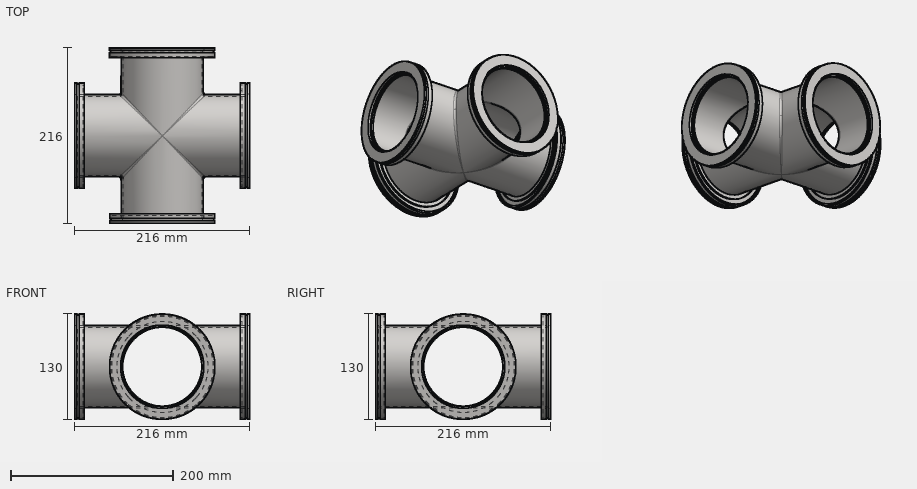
import cadquery as cq

overall_length = 216.0
face_distance = overall_length / 2

tube_outer_radius = 101.6 / 2
tube_inner_radius = 97.4 / 2
tube_wall = tube_outer_radius - tube_inner_radius
crotch_outer_fillet = 2.5
crotch_inner_fillet = crotch_outer_fillet + tube_wall

flange_radius = 130.0 / 2
flange_thickness = 12.0
back_distance = face_distance - flange_thickness
face_recess_radius = 102.7 / 2
face_recess_depth = 3.5
lip_radius = 98.3 / 2
lip_length = 2.5
socket_radius = 101.9 / 2
tube_end = face_distance - face_recess_depth - lip_length

groove_radius = 1.5
groove_front_land = 3.0
groove_center = face_distance - groove_front_land - groove_radius

back_recess_inner_radius = 112.3 / 2
back_recess_outer_radius = 125.0 / 2
back_recess_depth = 2.0

branch_angles = [0, 90, 180, 270]


def crossed_cylinders(radius, fillet):
    """Two equal cylinders along X and Y, with their mitre edges rounded."""
    along_x = cq.Workplane("YZ").circle(radius).extrude(tube_end, both=True)
    along_y = cq.Workplane("XZ").circle(radius).extrude(tube_end, both=True)
    crossing_box = cq.selectors.BoxSelector((-radius, -radius, -radius), (radius, radius, radius))
    return along_x.union(along_y).edges(crossing_box).fillet(fillet)


def make_cross_tube():
    """Four-way tube whose ends stop against the flange lips."""
    outside = crossed_cylinders(tube_outer_radius, crotch_outer_fillet)
    inside = crossed_cylinders(tube_inner_radius, crotch_inner_fillet)
    return outside.cut(inside)


def ring(outer_radius, inner_radius, start, length):
    """Ring around the X axis, from start along +X."""
    plane = cq.Workplane("YZ", origin=(start, 0, 0))
    return plane.circle(outer_radius).circle(inner_radius).extrude(length)


def clamp_groove():
    """Torus whose tube is centred on the flange rim."""
    return (
        cq.Workplane("XY")
        .center(groove_center, flange_radius)
        .circle(groove_radius)
        .revolve(360, (0, -flange_radius, 0), (1, -flange_radius, 0))
    )


def make_flange(angle):
    """Flange on the +X branch, turned about Z onto its own branch."""
    socket_section = ring(flange_radius, socket_radius, back_distance, tube_end - back_distance)
    lip_section = ring(flange_radius, lip_radius, tube_end, lip_length)
    recess_section = ring(
        flange_radius, face_recess_radius, face_distance - face_recess_depth, face_recess_depth)
    back_recess = ring(
        back_recess_outer_radius, back_recess_inner_radius, back_distance, back_recess_depth)
    flange = socket_section.union(lip_section).union(recess_section)
    flange = flange.cut(back_recess).cut(clamp_groove())
    return flange.rotate((0, 0, 0), (0, 0, 1), angle)


cross_tube = make_cross_tube()
flanges = [make_flange(angle) for angle in branch_angles]
result = cq.Compound.makeCompound([cross_tube.val(), *[flange.val() for flange in flanges]])